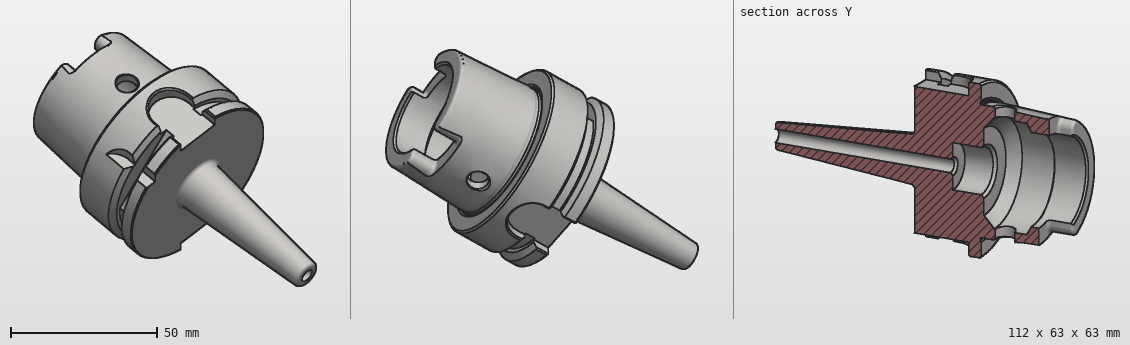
import math

import cadquery as cq


shank_length = 32.0
gauge_x = -6.3
gauge_radius = 24.0
taper_slope = 1 / 20
shank_end_fillet = 1.0
taper_end_x = -2.2

relief_radius = 48.04 / 2
relief_start_x = -1.4
relief_end_x = -0.45
face_recess_depth = 0.4
face_recess_inner_radius = 24.3
face_recess_outer_radius = 24.8
face_recess_rim_radius = 25.5

flange_radius = 63.0 / 2
flange_width = 26.0
flange_front_chamfer = 0.7
flange_rear_chamfer = 0.4

groove_x = 18.0
groove_width = 3.75
groove_bottom_radius = 55.0 / 2
groove_flank_radius = 29.0
groove_flank_angle = 30.0

groove_flat_distance = 21.8
groove_flat_tilt = 48.0

slot_radius = 8.0
slot_centre_x = 13.0
slot_floor_z = 26.5
slot_edge_chamfer = 0.6
notch_wall = 20.15

tip_x = 80.0
tip_radius = 10.0 / 2
nose_half_angle = 4.5
nose_base_fillet = 1.5
tip_fillet = 1.2

mouth_radius = 34.0 / 2
mouth_chamfer = 0.7
lip_end_x = -19.3
cavity_radius = 40.0 / 2
cavity_lip_angle = 60.0
cavity_rear_x = -5.0
cavity_floor_x = -1.0
cavity_floor_radius = 15.75

tube_bore_radius = 16.92 / 2
tube_bore_mouth_radius = 19.02 / 2
tube_bore_depth = 12.0
through_bore_radius = 4.75 / 2
through_bore_chamfer = 0.9

access_x = -9.1
access_radius = 7.5 / 2
access_chamfer = 0.5

drive_half_width = 12.54 / 2
drive_shoulder_z = 20.7
drive_shoulder_radius = 2.9
drive_depth_top = 5.7
drive_depth_bottom = 9.7
drive_floor_fillet = 1.2

clearance = 10.0
selection_margin = 0.1


def taper_radius(x):
    """Outer radius of the shank taper at x."""
    return gauge_radius + taper_slope * (x - gauge_x)


def revolve_about_x(profile):
    """Close a half profile and turn it around the tool axis."""
    return profile.close().revolve(360, (0, 0, 0), (1, 0, 0))


def drive_outline(section_plane):
    """Slot section that flares into a shoulder near the outside of the shank."""
    outer = taper_radius(0) + clearance
    bend = drive_shoulder_radius * (1 - math.sqrt(0.5))
    straight_z = drive_shoulder_z - drive_shoulder_radius
    flare_y = drive_half_width + drive_shoulder_radius
    return (
        section_plane.moveTo(-drive_half_width, 0)
        .lineTo(-drive_half_width, straight_z)
        .threePointArc((-drive_half_width - bend, drive_shoulder_z - bend), (-flare_y, drive_shoulder_z))
        .lineTo(-outer, drive_shoulder_z)
        .lineTo(-outer, outer)
        .lineTo(outer, outer)
        .lineTo(outer, drive_shoulder_z)
        .lineTo(flare_y, drive_shoulder_z)
        .threePointArc((drive_half_width + bend, drive_shoulder_z - bend), (drive_half_width, straight_z))
        .lineTo(drive_half_width, 0)
        .close()
    )


def drive_slot_cutter(depth):
    """Drive slot above the axis with rounded floor corners."""
    outline = drive_outline(cq.Workplane("YZ", origin=(-shank_length, 0, 0)))
    cutter = outline.extrude(depth)
    floor_x = -shank_length + depth
    reach = drive_shoulder_z + drive_shoulder_radius
    floor_zone = cq.selectors.BoxSelector(
        (floor_x - selection_margin, -reach, selection_margin),
        (floor_x + selection_margin, reach, reach),
    )
    return cutter.edges(floor_zone).fillet(drive_floor_fillet)


def make_shank():
    """Solid taper shank with both drive slots, ending inside the flange."""
    profile = (
        cq.Workplane("XY")
        .moveTo(-shank_length, 0)
        .lineTo(-shank_length, taper_radius(-shank_length))
        .lineTo(taper_end_x, taper_radius(taper_end_x))
        .lineTo(relief_start_x, relief_radius)
        .lineTo(relief_end_x, relief_radius)
        .lineTo(face_recess_depth, face_recess_inner_radius)
        .lineTo(face_recess_depth, 0)
    )
    shank = revolve_about_x(profile)
    shank = shank.cut(drive_slot_cutter(drive_depth_top))
    shank = shank.cut(drive_slot_cutter(drive_depth_bottom).rotate((0, 0, 0), (1, 0, 0), 180))
    return shank.faces("<X").edges().fillet(shank_end_fillet)


def slot_cutter(sign):
    """Round-ended slot open towards +X, above (sign = 1) or below (sign = -1) the axis."""
    height = flange_radius + clearance - slot_floor_z
    rear_x = flange_width + clearance
    return (
        cq.Workplane("XY", origin=(0, 0, sign * slot_floor_z))
        .moveTo(rear_x, slot_radius)
        .lineTo(slot_centre_x, slot_radius)
        .threePointArc((slot_centre_x - slot_radius, 0), (slot_centre_x, -slot_radius))
        .lineTo(rear_x, -slot_radius)
        .close()
        .extrude(sign * height)
    )


def notch_cutter():
    """Corner notch between -Y and +Z with a quarter-round end."""
    outer = flange_radius + clearance
    centre_y = -notch_wall - slot_radius
    diagonal = slot_radius * math.sqrt(0.5)
    return (
        cq.Workplane("XY", origin=(0, 0, notch_wall))
        .moveTo(flange_width + clearance, -notch_wall)
        .lineTo(slot_centre_x, -notch_wall)
        .threePointArc(
            (slot_centre_x - diagonal, centre_y + diagonal),
            (slot_centre_x - slot_radius, centre_y),
        )
        .lineTo(slot_centre_x - slot_radius, -outer)
        .lineTo(flange_width + clearance, -outer)
        .close()
        .extrude(outer - notch_wall)
    )


def groove_cutter():
    """Ring with straight side walls near its bottom and sloping flanks further out."""
    half_width = groove_width / 2
    outer = flange_radius + clearance
    outer_half = half_width + (outer - groove_flank_radius) * math.tan(math.radians(groove_flank_angle))
    profile = (
        cq.Workplane("XY")
        .moveTo(groove_x - half_width, groove_bottom_radius)
        .lineTo(groove_x - half_width, groove_flank_radius)
        .lineTo(groove_x - outer_half, outer)
        .lineTo(groove_x + outer_half, outer)
        .lineTo(groove_x + half_width, groove_flank_radius)
        .lineTo(groove_x + half_width, groove_bottom_radius)
    )
    return revolve_about_x(profile)


def groove_flat_cutter():
    """Segment between the tilted flat and the groove bottom circle."""
    block_height = groove_bottom_radius - groove_flat_distance
    block = cq.Workplane("XY").box(groove_width, 2 * groove_bottom_radius, block_height)
    block = block.translate((groove_x, 0, groove_flat_distance + block_height / 2))
    segment = block.intersect(
        cq.Workplane("YZ").circle(groove_bottom_radius).extrude(flange_width)
    )
    return segment.rotate((0, 0, 0), (1, 0, 0), groove_flat_tilt)


def make_flange():
    """Flange with its slots, notch, face recess and gripper groove."""
    blank = cq.Workplane("YZ").circle(flange_radius).extrude(flange_width)
    for sign in (1, -1):
        blank = blank.cut(slot_cutter(sign))
    rim_z = math.sqrt(flange_radius**2 - slot_radius**2)
    margin = flange_radius - rim_z
    for edge_z in (rim_z, -rim_z):
        rim_zone = cq.selectors.BoxSelector(
            (selection_margin, -slot_radius - margin, edge_z - margin),
            (flange_width - selection_margin, slot_radius + margin, edge_z + margin),
        )
        blank = blank.edges(rim_zone).chamfer(slot_edge_chamfer)
    trimming = revolve_about_x(
        cq.Workplane("XY")
        .moveTo(0, 0)
        .lineTo(0, flange_radius - flange_front_chamfer)
        .lineTo(flange_front_chamfer, flange_radius)
        .lineTo(flange_width - flange_rear_chamfer, flange_radius)
        .lineTo(flange_width, flange_radius - flange_rear_chamfer)
        .lineTo(flange_width, 0)
    )
    recess = revolve_about_x(
        cq.Workplane("XY")
        .moveTo(0, 0)
        .lineTo(0, face_recess_rim_radius)
        .lineTo(face_recess_depth, face_recess_outer_radius)
        .lineTo(face_recess_depth, 0)
    )
    flange = blank.intersect(trimming).cut(recess)
    return flange.cut(notch_cutter()).cut(groove_cutter()).cut(groove_flat_cutter())


def make_nose():
    """Tapered nose with a concave fillet against the rear face of the flange."""
    slope = math.radians(nose_half_angle)
    tangent_x = flange_width + nose_base_fillet * (1 - math.sin(slope))
    tangent_radius = tip_radius + (tip_x - tangent_x) * math.tan(slope)
    centre_radius = tangent_radius + nose_base_fillet * math.cos(slope)
    mid_angle = (math.radians(180) + math.radians(270) - slope) / 2
    middle = (
        flange_width + nose_base_fillet * (1 + math.cos(mid_angle)),
        centre_radius + nose_base_fillet * math.sin(mid_angle),
    )
    profile = (
        cq.Workplane("XY")
        .moveTo(flange_width, 0)
        .lineTo(flange_width, centre_radius)
        .threePointArc(middle, (tangent_x, tangent_radius))
        .lineTo(tip_x, tip_radius)
        .lineTo(tip_x, 0)
    )
    return revolve_about_x(profile).faces(">X").edges().fillet(tip_fillet)


def cavity_cutter():
    """Clamping cavity, coolant tube bore and through bore as one turned shape."""
    lip_length = (cavity_radius - mouth_radius) / math.tan(math.radians(cavity_lip_angle))
    tube_bore_end_x = cavity_floor_x + tube_bore_depth
    tube_bore_chamfer = tube_bore_mouth_radius - tube_bore_radius
    profile = (
        cq.Workplane("XY")
        .moveTo(-shank_length, 0)
        .lineTo(-shank_length, mouth_radius + mouth_chamfer)
        .lineTo(-shank_length + mouth_chamfer, mouth_radius)
        .lineTo(lip_end_x, mouth_radius)
        .lineTo(lip_end_x + lip_length, cavity_radius)
        .lineTo(cavity_rear_x, cavity_radius)
        .lineTo(cavity_floor_x, cavity_floor_radius)
        .lineTo(cavity_floor_x, tube_bore_mouth_radius)
        .lineTo(cavity_floor_x + tube_bore_chamfer, tube_bore_radius)
        .lineTo(tube_bore_end_x, tube_bore_radius)
        .lineTo(tube_bore_end_x, through_bore_radius + through_bore_chamfer)
        .lineTo(tube_bore_end_x + through_bore_chamfer, through_bore_radius)
        .lineTo(tip_x, through_bore_radius)
        .lineTo(tip_x, 0)
    )
    return revolve_about_x(profile)


def access_hole_cutter():
    """Radial hole along Z with a countersink on either side of the shank."""
    outer = taper_radius(access_x)
    profile = (
        cq.Workplane("XZ", origin=(access_x, 0, 0))
        .lineTo(access_radius, 0)
        .lineTo(access_radius, outer - access_chamfer)
        .lineTo(access_radius + 2 * access_chamfer, outer + access_chamfer)
        .lineTo(0, outer + access_chamfer)
        .close()
    )
    half = profile.revolve(360, (0, 0, 0), (0, 1, 0))
    return half.union(half.mirror("XY"))


body = make_shank().union(make_flange()).union(make_nose())
result = body.cut(cavity_cutter()).cut(access_hole_cutter())